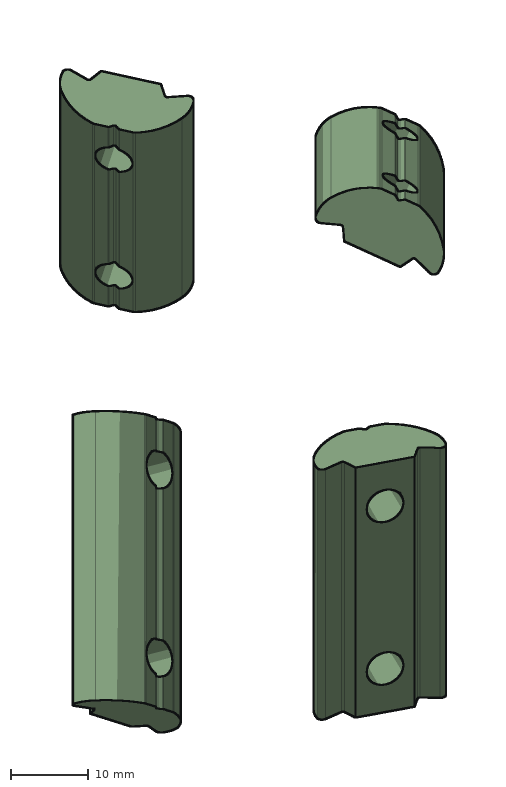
import cadquery as cq
import math

length = 39.0
width = 17.65
depth = 8.45

belly_radius = 9.75
belly_center_y = 9.35
blend_x = 8.07
front_edge_radius = 0.98

back_half = 4.0
back_wall_angle = math.radians(60)
notch_x = 5.1
ear_slope = math.radians(20)
ear_radius = 0.75
notch_radius = 0.3

groove_half = 0.7
groove_depth = 0.5
groove_bottom_radius = 0.27
groove_mouth_radius = 0.2

hole_diameter = 5.0
hole_spacing = 25.35

half_width = width / 2
front_flat_half = math.sqrt(belly_radius**2 - belly_center_y**2)


def belly_y(x):
    """Height of the large front arc at a given X."""
    return belly_center_y - math.sqrt(belly_radius**2 - x**2)


def side_arc():
    """Centre and radius of the arc tangent to the belly at the blend and to the full width."""
    blend_y = belly_y(blend_x)
    outward_x = blend_x / belly_radius
    outward_y = (blend_y - belly_center_y) / belly_radius
    radius = (half_width - blend_x) / (1 - outward_x)
    return blend_x - radius * outward_x, blend_y - radius * outward_y, radius


def half_section():
    """Closed outline of the +X half, with sharp corners, its ear tip and its notch corner."""
    center_x, center_y, radius = side_arc()
    notch_y = depth - (notch_x - back_half) * math.tan(back_wall_angle)

    dx = notch_x - center_x
    dy = notch_y - center_y
    along = dx * math.cos(ear_slope) + dy * math.sin(ear_slope)
    reach = -along + math.sqrt(along**2 - dx**2 - dy**2 + radius**2)
    tip = (notch_x + reach * math.cos(ear_slope), notch_y + reach * math.sin(ear_slope))

    belly_mid_x = (front_flat_half + blend_x) / 2
    outline = (
        cq.Workplane("XY")
        .moveTo(0, groove_depth)
        .lineTo(groove_half, 0)
        .lineTo(front_flat_half, 0)
        .threePointArc((belly_mid_x, belly_y(belly_mid_x)), (blend_x, belly_y(blend_x)))
        .threePointArc((half_width, center_y), tip)
        .lineTo(notch_x, notch_y)
        .lineTo(back_half, depth)
        .lineTo(0, depth)
        .close()
    )
    return outline, tip, (notch_x, notch_y)


def round_corner(body, point, radius):
    """Round the upright edges at an XY corner and at its mirror image."""
    x, y = point
    margin = 0.05
    for side in {x, -x}:
        box = cq.selectors.BoxSelector(
            (side - margin, y - margin, -length), (side + margin, y + margin, length)
        )
        body = body.edges("|Z").edges(box).fillet(radius)
    return body


def make_bar():
    """Extruded bar, centred on Z = 0, with its long edges rounded."""
    outline, ear_tip, notch_corner = half_section()
    half = outline.extrude(length / 2, both=True)
    body = half.union(half.mirror("YZ")).clean()
    body = round_corner(body, ear_tip, ear_radius)
    body = round_corner(body, notch_corner, notch_radius)
    body = round_corner(body, (front_flat_half, 0), front_edge_radius)
    body = round_corner(body, (groove_half, 0), groove_mouth_radius)
    return round_corner(body, (0, groove_depth), groove_bottom_radius)


def make_holes():
    """Two round holes running front to back through the bar."""
    return (
        cq.Workplane("XZ")
        .pushPoints([(0, -hole_spacing / 2), (0, hole_spacing / 2)])
        .circle(hole_diameter / 2)
        .extrude(-depth)
    )


result = make_bar().cut(make_holes())